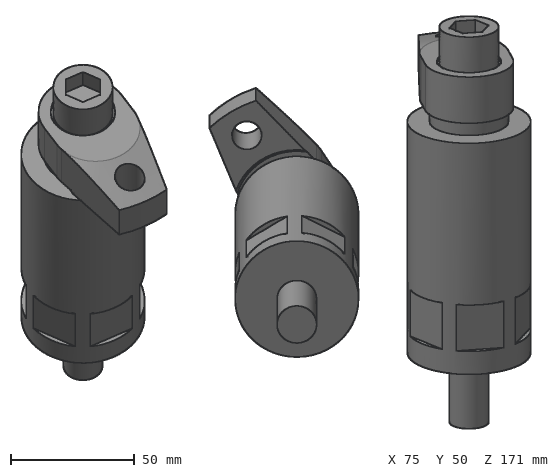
import cadquery as cq
import math

housing_diameter = 50
housing_height = 100
neck_diameter = 32
neck_height = 6
flat_count = 6
across_flats = 46
flats_bottom = 10
flats_height = 20

hub_radius = 18
hub_center_offset = 10
hub_height = 20
arm_reach = 50
arm_taper_angle = 10.5
top_slope_angle = 15
arm_drop = 1
drop_start_radius = housing_diameter / 2
arm_hole_position = 38
arm_hole_diameter = 12

shank_diameter = 16
shank_projection = 30
head_diameter = 24
head_height = 16
head_projection = 15
socket_across_flats = 14
socket_sides = 6
socket_depth = 8
counterbore_diameter = 26

arm_bottom = housing_height + neck_height
arm_top = arm_bottom + hub_height
screw_top = arm_top + head_projection
head_seat = screw_top - head_height


def cylinder(radius, bottom, top, center_x=0):
    """Upright cylinder between two levels."""
    base = cq.Workplane("XY", origin=(center_x, 0, bottom))
    return base.circle(radius).extrude(top - bottom)


def make_housing():
    """Round housing with recessed wrench flats, a neck and a bore for the screw."""
    body = cylinder(housing_diameter / 2, 0, housing_height)
    body = body.union(cylinder(neck_diameter / 2, housing_height, arm_bottom))
    flat_cutter = cq.Workplane("XY", origin=(across_flats / 2, 0, flats_bottom)).box(
        housing_diameter, housing_diameter, flats_height, centered=(False, True, False)
    )
    for index in range(flat_count):
        body = body.cut(flat_cutter.rotate((0, 0, 0), (0, 0, 1), index * 360 / flat_count))
    return body.cut(cylinder(shank_diameter / 2, 0, arm_bottom))


def arm_outline():
    """Plan of the arm: round hub, straight sides, tangent taper and an end arc about the screw axis."""
    taper = math.radians(arm_taper_angle)
    taper_x = hub_center_offset + hub_radius * math.sin(taper)
    taper_y = hub_radius * math.cos(taper)
    blend_x = hub_center_offset + hub_radius * math.sin(taper / 2)
    blend_y = hub_radius * math.cos(taper / 2)
    side_distance = hub_radius + hub_center_offset * math.sin(taper)
    tip_angle = math.pi / 2 - taper - math.acos(side_distance / arm_reach)
    tip_x = arm_reach * math.cos(tip_angle)
    tip_y = arm_reach * math.sin(tip_angle)
    return (
        cq.Workplane("XY", origin=(0, 0, arm_bottom - arm_drop))
        .moveTo(0, hub_radius)
        .lineTo(hub_center_offset, hub_radius)
        .threePointArc((blend_x, blend_y), (taper_x, taper_y))
        .lineTo(tip_x, tip_y)
        .threePointArc((arm_reach, 0), (tip_x, -tip_y))
        .lineTo(taper_x, -taper_y)
        .threePointArc((blend_x, -blend_y), (hub_center_offset, -hub_radius))
        .lineTo(0, -hub_radius)
        .threePointArc((-hub_radius, 0), (0, hub_radius))
        .close()
    )


def top_slope_cutter():
    """Ring above a cone that falls away from the round end of the hub."""
    outer_radius = arm_reach
    fall = (outer_radius - hub_radius) * math.tan(math.radians(top_slope_angle))
    ring = (
        cq.Workplane("XZ")
        .moveTo(hub_radius, arm_top)
        .lineTo(outer_radius, arm_top)
        .lineTo(outer_radius, arm_top - fall)
        .close()
        .revolve(360, (0, 0, 0), (0, 1, 0))
        .translate((hub_center_offset, 0, 0))
    )
    arm_side = cq.Workplane("XY", origin=(hub_center_offset, 0, 0)).box(
        2 * arm_reach, 2 * arm_reach, 2 * arm_top, centered=(False, True, True)
    )
    return ring.intersect(arm_side)


def underside_cutter():
    """Conical clearance that leaves the outer arm lower than the hub."""
    return (
        cq.Workplane("XY", origin=(0, 0, arm_bottom - arm_drop))
        .circle(drop_start_radius + arm_drop)
        .workplane(offset=arm_drop)
        .circle(drop_start_radius)
        .loft()
    )


def make_arm():
    """Clamp arm with a counterbored screw hole and a hole near its tip."""
    body = arm_outline().extrude(hub_height + arm_drop)
    body = body.cut(top_slope_cutter()).cut(underside_cutter())
    body = body.cut(cylinder(shank_diameter / 2, arm_bottom, arm_top))
    body = body.cut(cylinder(counterbore_diameter / 2, head_seat, arm_top))
    tip_hole = cylinder(arm_hole_diameter / 2, arm_bottom - arm_drop, arm_top, arm_hole_position)
    return body.cut(tip_hole)


def make_screw():
    """Socket head screw whose shank projects below the housing."""
    body = cylinder(shank_diameter / 2, -shank_projection, head_seat)
    body = body.union(cylinder(head_diameter / 2, head_seat, screw_top))
    socket_diameter = socket_across_flats / math.cos(math.pi / socket_sides)
    socket = (
        cq.Workplane("XY", origin=(0, 0, screw_top - socket_depth))
        .polygon(socket_sides, socket_diameter)
        .extrude(socket_depth)
        .rotate((0, 0, 0), (0, 0, 1), 180 / socket_sides)
    )
    return body.cut(socket)


housing = make_housing()
arm = make_arm()
screw = make_screw()

result = cq.Compound.makeCompound([housing.val(), arm.val(), screw.val()])